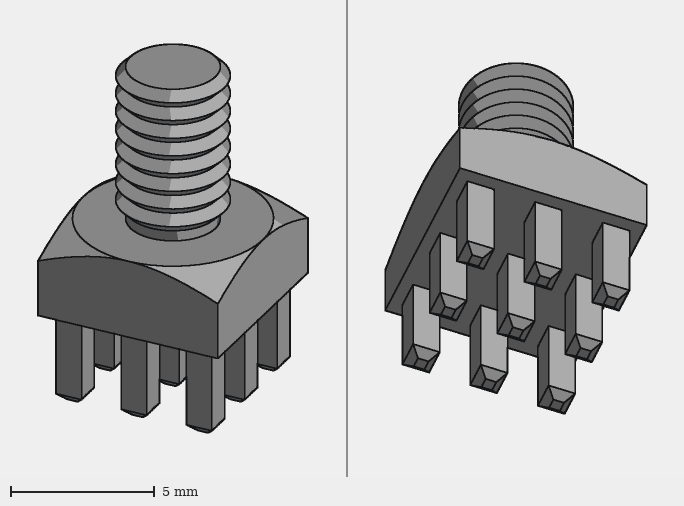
import cadquery as cq
import math

body_side = 7.0
body_height = 3.0
corner_bevel_angle = 30.0

stud_height = 6.0
crest_radius = 2.0
thread_pitch = 0.7
thread_count = 8
root_radius = crest_radius - thread_pitch / 2
neck_height = stud_height - thread_count * thread_pitch

pin_side = 1.0
pin_length = 3.5
pin_spacing = 2.54
pins_per_side = 3
pin_tip_chamfer = 0.3

body_bottom = pin_length
body_top = body_bottom + body_height


def revolve_profile(points):
    """Revolve a closed (radius, height) outline about the Z axis."""
    return cq.Workplane("XZ").polyline(points).close().revolve(360, (0, 0, 0), (0, 1, 0))


def make_body():
    """Square block whose top corners are trimmed by a cone tangent to its sides."""
    block = (
        cq.Workplane("XY")
        .workplane(offset=body_bottom)
        .rect(body_side, body_side)
        .extrude(body_height)
    )
    top_radius = body_side / 2
    outer_radius = body_side
    drop = (outer_radius - top_radius) * math.tan(math.radians(corner_bevel_angle))
    trim = revolve_profile([
        (top_radius, body_top),
        (outer_radius, body_top),
        (outer_radius, body_top - drop),
    ])
    return block.cut(trim)


def make_stud():
    """Plain neck topped by a stack of V-shaped thread rings."""
    thread_start = body_top + neck_height
    profile = [(0, body_bottom), (root_radius, body_bottom), (root_radius, thread_start)]
    for ring in range(thread_count):
        ring_bottom = thread_start + ring * thread_pitch
        profile.append((crest_radius, ring_bottom + thread_pitch / 2))
        profile.append((root_radius, ring_bottom + thread_pitch))
    profile.append((0, body_top + stud_height))
    return revolve_profile(profile)


def make_pins():
    """Square grid of pins with chamfered tips."""
    return (
        cq.Workplane("XY")
        .rarray(pin_spacing, pin_spacing, pins_per_side, pins_per_side)
        .rect(pin_side, pin_side)
        .extrude(pin_length)
        .faces("<Z")
        .chamfer(pin_tip_chamfer)
    )


result = make_body().union(make_stud()).union(make_pins())